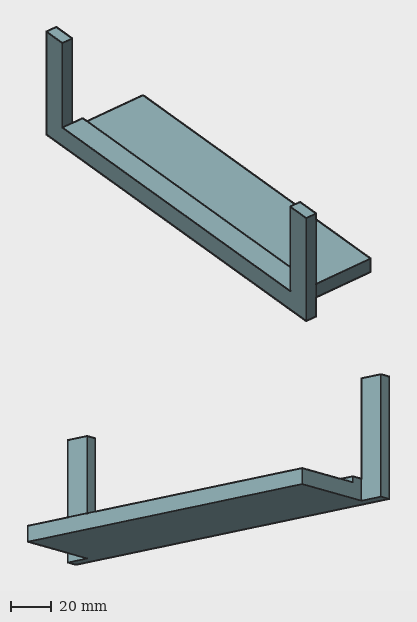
import cadquery as cq

length = 203.2
depth = 50.8
height = 62.0

frame_thickness = 6.3
post_width = 12.5
rail_height = 11.2

shelf_thickness = 8.1
ledge_depth = 6.5
opening_width = length - 2 * post_width


def block(width, y_start, y_end, block_height):
    """Block centred on X, standing on Z = 0, between two Y positions."""
    return (
        cq.Workplane("XY")
        .box(width, y_end - y_start, block_height, centered=(True, False, False))
        .translate((0, y_start, 0))
    )


opening = block(opening_width, 0, frame_thickness, height - rail_height)
frame = block(length, 0, frame_thickness, height).cut(opening.translate((0, 0, rail_height)))

shelf = block(opening_width, frame_thickness, depth, shelf_thickness)
ledge = block(opening_width, frame_thickness, frame_thickness + ledge_depth, rail_height)

result = frame.union(shelf).union(ledge).clean()